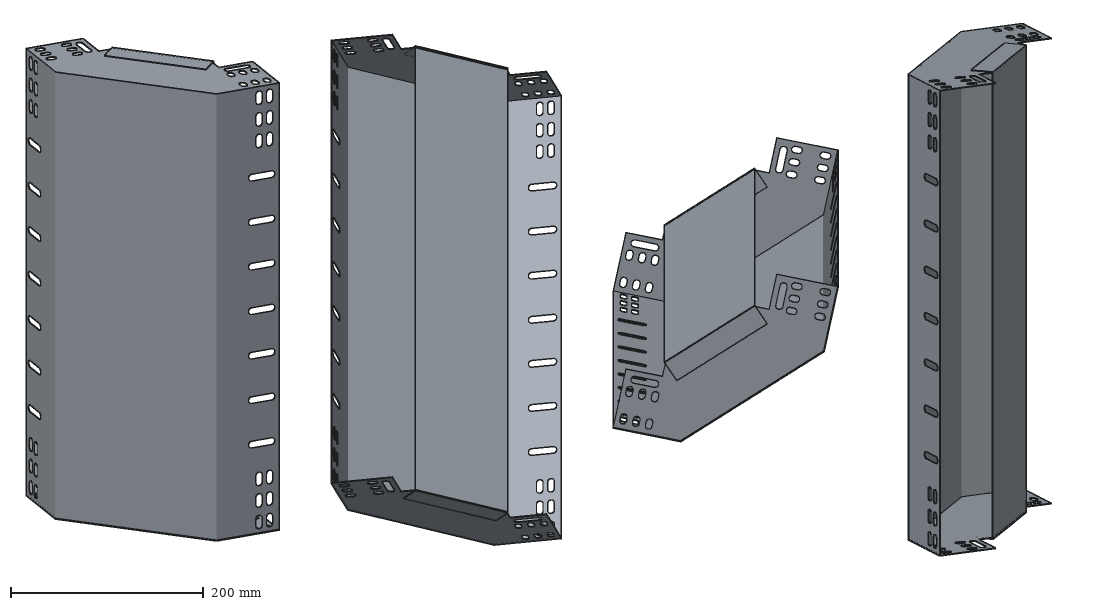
import cadquery as cq
import math

TOTAL_HEIGHT = 503.0
SHEET = 1.0
BASE_WIDTH = 178.0
BEND_RADIUS = 1.5
WING_ANGLE = 45
WING_REACH = 51.0
TRAY_DEPTH = 97.0
EAR_WIDTH = 38.5

COVER_WIDTH = 112.0
COVER_BACK = 82.0
COVER_FLANGE = 24.0

WING_SLOT_LENGTH = 15.0
WING_SLOT_WIDTH = 7.0
WING_SLOT_COLUMNS = (11.0, 23.0)
WING_SLOT_FIRST = 13.0
WING_SLOT_PITCH = 24.0
WING_SLOT_ROWS = 3
CROSS_SLOT_LENGTH = 30.0
CROSS_SLOT_WIDTH = 7.5
CROSS_SLOT_CENTER = 20.0
CROSS_SLOT_PITCH = 50.0
CROSS_SLOT_COUNT = 7

EAR_SLOT_LENGTH = 11.0
EAR_SLOT_WIDTH = 7.0
EAR_SLOT_FIRST = 8.5
EAR_SLOT_PITCH = 13.5
EAR_SLOT_COUNT = 3
EAR_SLOT_ROWS = (12.0, 42.5)
EAR_LONG_SLOT_LENGTH = 29.0
EAR_LONG_SLOT_WIDTH = 7.5
EAR_LONG_SLOT_ROW = 56.0

UPRIGHT = 90

DIAGONAL = math.cos(math.radians(WING_ANGLE))
TRAY_HEIGHT = TOTAL_HEIGHT - 2 * SHEET
COVER_INNER = COVER_BACK - SHEET
BASE_HALF = BASE_WIDTH / 2
TIP = (BASE_HALF + WING_REACH, WING_REACH)
PEAK = (TIP[0] - (TRAY_DEPTH - WING_REACH), TRAY_DEPTH)
NOTCH = (PEAK[0] - EAR_WIDTH * DIAGONAL, PEAK[1] - EAR_WIDTH * DIAGONAL)
CROWN = (NOTCH[0] - (COVER_INNER - NOTCH[1]), COVER_INNER)
EAR_SLOT_MIDDLE = EAR_SLOT_FIRST + EAR_SLOT_PITCH * (EAR_SLOT_COUNT - 1) / 2


def mirrored(right_half):
    """Complete a list of right-hand points with their mirror images about X = 0."""
    return right_half + [(-x, y) for x, y in reversed(right_half)]


def folded_sheet():
    """Front plate with its two slanted wings, as one bent strip."""
    inner_bend = (BASE_HALF - SHEET * math.tan(math.radians(WING_ANGLE / 2)), SHEET)
    inner_tip = (TIP[0] - SHEET * DIAGONAL, TIP[1] + SHEET * DIAGONAL)
    profile = mirrored([(BASE_HALF, 0), TIP, inner_tip, inner_bend])
    sheet = (cq.Workplane("XY", origin=(0, 0, -TRAY_HEIGHT / 2))
             .polyline(profile).close().extrude(TRAY_HEIGHT))
    return sheet.edges("|Z").edges(">>Y[1]").fillet(BEND_RADIUS - SHEET)


def end_plate(bottom):
    """Plate that closes one end of the tray, with an ear behind each wing."""
    outline = mirrored([(BASE_HALF, 0), TIP, PEAK, NOTCH, CROWN])
    return cq.Workplane("XY", origin=(0, 0, bottom)).polyline(outline).close().extrude(SHEET)


def wing_plane():
    """Plane on the right wing: local X runs from its free edge to the bend, local Y runs along Z."""
    return cq.Workplane(cq.Plane(origin=(*TIP, 0), xDir=(-1, -1, 0), normal=(-1, 1, 0)))


def wing_slots():
    """Cutters for the slots of the right wing."""
    first_row = TRAY_HEIGHT / 2 - WING_SLOT_FIRST
    upright = [
        (column, end * (first_row - row * WING_SLOT_PITCH))
        for column in WING_SLOT_COLUMNS
        for end in (1, -1)
        for row in range(WING_SLOT_ROWS)
    ]
    lowest = -CROSS_SLOT_PITCH * (CROSS_SLOT_COUNT - 1) / 2
    crosswise = [(CROSS_SLOT_CENTER, lowest + i * CROSS_SLOT_PITCH) for i in range(CROSS_SLOT_COUNT)]
    cutters = wing_plane().pushPoints(upright).slot2D(WING_SLOT_LENGTH, WING_SLOT_WIDTH, UPRIGHT)
    cutters = cutters.extrude(2 * SHEET, both=True)
    cross_cutters = wing_plane().pushPoints(crosswise).slot2D(CROSS_SLOT_LENGTH, CROSS_SLOT_WIDTH)
    return cutters.add(cross_cutters.extrude(2 * SHEET, both=True)).combine()


def ear_slots():
    """Cutters for the slots of the right-hand ears, long enough to pass through both end plates."""
    plane = cq.Plane(origin=(*TIP, 0), xDir=(-1, -1, 0), normal=(0, 0, 1))
    short = [
        (EAR_SLOT_FIRST + i * EAR_SLOT_PITCH, -row)
        for row in EAR_SLOT_ROWS
        for i in range(EAR_SLOT_COUNT)
    ]
    cutters = cq.Workplane(plane).pushPoints(short).slot2D(EAR_SLOT_LENGTH, EAR_SLOT_WIDTH, UPRIGHT)
    cutters = cutters.extrude(TRAY_HEIGHT, both=True)
    long_cutter = (cq.Workplane(plane).center(EAR_SLOT_MIDDLE, -EAR_LONG_SLOT_ROW)
                   .slot2D(EAR_LONG_SLOT_LENGTH, EAR_LONG_SLOT_WIDTH)
                   .extrude(TRAY_HEIGHT, both=True))
    return cutters.add(long_cutter).combine()


def make_tray():
    """Bent sheet, closed by an end plate at each end, with slots mirrored left to right."""
    tray = folded_sheet()
    for bottom in (-TRAY_HEIGHT / 2, TRAY_HEIGHT / 2 - SHEET):
        tray = tray.union(end_plate(bottom))
    tray = tray.edges("|Z").edges("<Y").fillet(BEND_RADIUS)
    for cutters in (wing_slots(), ear_slots()):
        tray = tray.cut(cutters).cut(cutters.mirror("YZ"))
    return tray


def make_cover():
    """Channel over the back of the tray; its flanges lap the outside of the end plates."""
    channel = (cq.Workplane("XY")
               .box(COVER_WIDTH, COVER_FLANGE, TOTAL_HEIGHT)
               .translate((0, COVER_BACK - COVER_FLANGE / 2, 0)))
    inside = (cq.Workplane("XY")
              .box(COVER_WIDTH, COVER_FLANGE, TRAY_HEIGHT)
              .translate((0, COVER_INNER - COVER_FLANGE / 2, 0)))
    return channel.cut(inside)


tray = make_tray()
cover = make_cover()
result = cq.Compound.makeCompound([tray.val(), cover.val()])